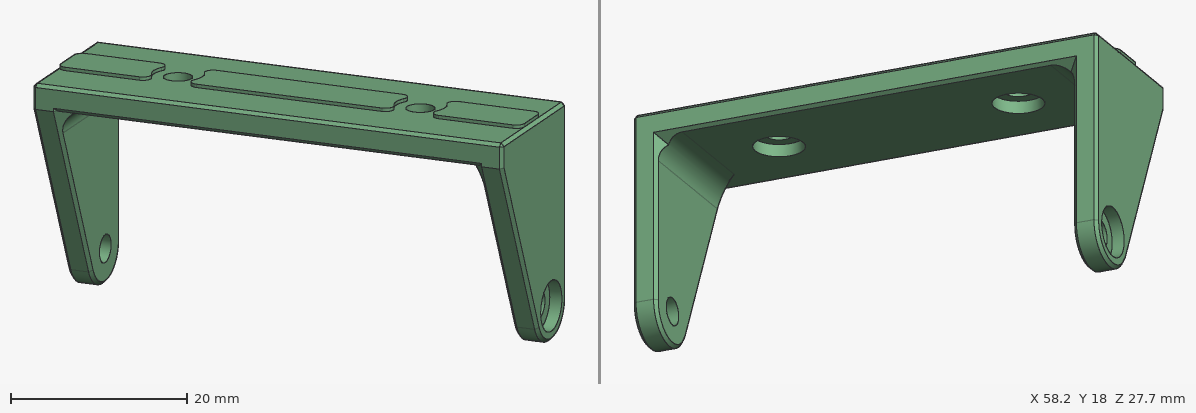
import cadquery as cq
import math

length = 58.2
depth = 18.0
wall = 3.0
edge_chamfer = 0.4
inner_corner_radius = 3.0

leg_end_radius = 4.2
leg_height = 27.3

hole_diameter = 3.3
recess_diameter = 6.0
recess_depth = 1.5
plate_hole_spacing = 30.0

pad_height = 0.4
pad_width = 5.8
pad_corner_radius = 1.0
pad_gap_diameter = 6.0

selection_margin = 0.01

half_length = length / 2
half_depth = depth / 2
inner_half_length = half_length - wall
pivot_y = half_depth - leg_end_radius
pivot_z = leg_end_radius - leg_height
plate_hole_x = plate_hole_spacing / 2
plate_hole_centers = [(-plate_hole_x, 0), (plate_hole_x, 0)]

corner_to_pivot_y = pivot_y + half_depth
corner_to_pivot_z = pivot_z + wall
corner_to_pivot = math.hypot(corner_to_pivot_y, corner_to_pivot_z)
pivot_angle = math.atan2(corner_to_pivot_z, corner_to_pivot_y)
slope_angle = pivot_angle - math.asin(leg_end_radius / corner_to_pivot)
slope_length = math.sqrt(corner_to_pivot**2 - leg_end_radius**2)


def side_outline():
    """Tapered leg outline in the YZ plane, centred on X = 0."""
    tangent_y = -half_depth + slope_length * math.cos(slope_angle)
    tangent_z = -wall + slope_length * math.sin(slope_angle)
    return (
        cq.Workplane("YZ")
        .moveTo(half_depth, 0)
        .lineTo(-half_depth, 0)
        .lineTo(-half_depth, -wall)
        .lineTo(tangent_y, tangent_z)
        .threePointArc((pivot_y, -leg_height), (half_depth, pivot_z))
        .close()
    )


def make_leg():
    """Leg at the -X end, chamfered around its inner rim below the top edge."""
    leg = side_outline().extrude(wall).translate((-half_length, 0, 0))
    inner_rim = leg.faces(">X").edges("not >Z")
    return inner_rim.chamfer(edge_chamfer)


def make_plate():
    """Flat plate reaching over the leg chamfers, its lower long edges chamfered."""
    plate_length = 2 * (inner_half_length + edge_chamfer)
    plate = cq.Workplane("XY").box(plate_length, depth, wall, centered=(True, True, False))
    plate = plate.translate((0, 0, -wall))
    return plate.edges("|X and <Z").chamfer(edge_chamfer)


def make_body():
    """Plate and legs joined, outer rims chamfered and inner corners rounded."""
    leg = make_leg()
    body = make_plate().union(leg).union(leg.mirror("YZ")).clean()
    body = body.faces("<X or >X or >Z").edges().chamfer(edge_chamfer)
    inner_corners = cq.selectors.BoxSelector(
        (-inner_half_length - selection_margin, -half_depth, -wall - selection_margin),
        (inner_half_length + selection_margin, half_depth, -wall + selection_margin),
    )
    return body.edges(inner_corners).edges("|Y").fillet(inner_corner_radius)


def make_pads():
    """Raised strip along the plate, split into three pads by a round gap at each plate hole."""
    strip_length = length - 2 * edge_chamfer
    strip = cq.Workplane("XY").rect(strip_length, pad_width).extrude(pad_height)
    gaps = cq.Workplane("XY").pushPoints(plate_hole_centers)
    gaps = gaps.circle(pad_gap_diameter / 2).extrude(pad_height)
    return strip.cut(gaps).edges("|Z").fillet(pad_corner_radius)


def plate_holes():
    """Cutter for the plate holes, recessed from the underside."""
    centers = cq.Workplane("XY").pushPoints(plate_hole_centers)
    holes = centers.circle(hole_diameter / 2).extrude(-wall)
    recess_centers = cq.Workplane("XY", origin=(0, 0, -wall)).pushPoints(plate_hole_centers)
    recesses = recess_centers.circle(recess_diameter / 2).extrude(recess_depth)
    return holes.union(recesses)


def pivot_holes():
    """Cutter for the pivot hole in both legs, recessed from the outer faces."""
    pivot = cq.Workplane("YZ").center(pivot_y, pivot_z)
    cutter = pivot.circle(hole_diameter / 2).extrude(half_length, both=True)
    recess = (
        cq.Workplane("YZ", origin=(half_length, 0, 0))
        .center(pivot_y, pivot_z)
        .circle(recess_diameter / 2)
        .extrude(-recess_depth)
    )
    return cutter.union(recess).union(recess.mirror("YZ"))


body = make_body().cut(plate_holes()).cut(pivot_holes())
result = body.union(make_pads())